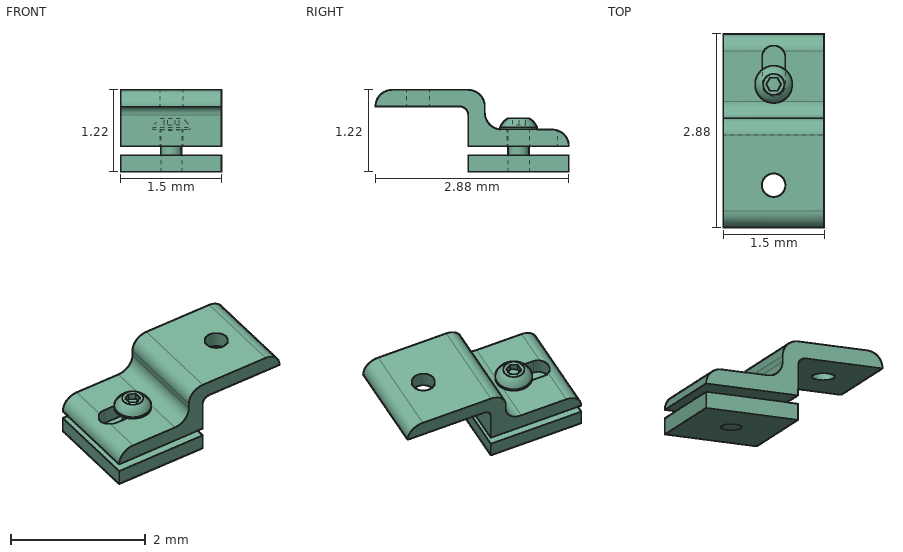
import cadquery as cq
import math

width = 1.5
length = 2.88
foot_length = 1.5
thickness = 0.25
height = 1.22
gap = 0.13
bend_radius = thickness
inner_bend_radius = 0.125

hole_diameter = 0.345
arm_hole_inset = 0.63
slot_end_inset = 0.173

shank_diameter = 0.315
head_diameter = 0.555
head_top_diameter = 0.315
head_height = 0.17
rim_height = 0.032
socket_corners = 0.222
socket_depth = 0.1

foot_bottom = thickness + gap
foot_top = foot_bottom + thickness
arm_bottom = height - thickness
wall_front = length - foot_length
wall_back = wall_front + thickness
screw_y = length - foot_length / 2
slot_end_y = length - slot_end_inset - hole_diameter / 2
diagonal = math.sqrt(0.5)


def quarter_arc(sketch, center, radius, side, end):
    """Add a quarter arc through the 45 degree point on the given side of its center."""
    middle = (center[0] + side[0] * radius * diagonal, center[1] + side[1] * radius * diagonal)
    return sketch.threePointArc(middle, end)


def make_clamp_plate():
    """Flat plate with a hole for the screw shank."""
    plate = cq.Workplane("XY").box(width, foot_length, thickness, centered=(True, False, False))
    hole = cq.Workplane("XY").center(0, foot_length / 2).circle(shank_diameter / 2).extrude(thickness)
    return plate.cut(hole).translate((0, wall_front, 0))


def make_screw():
    """Button head screw with a hexagon socket, ending flush with the plate bottom."""
    shank_radius = shank_diameter / 2
    head_radius = head_diameter / 2
    top_radius = head_top_diameter / 2
    rim_top = foot_top + rim_height
    head_top = foot_top + head_height

    dome_height = head_height - rim_height
    center_rise = (dome_height**2 + top_radius**2 - head_radius**2) / (2 * dome_height)
    dome_radius = math.hypot(head_radius, center_rise)
    middle_radius = (head_radius + top_radius) / 2
    middle_z = rim_top + center_rise + math.sqrt(dome_radius**2 - middle_radius**2)

    body = (
        cq.Workplane("XZ")
        .lineTo(shank_radius, 0)
        .lineTo(shank_radius, foot_top)
        .lineTo(head_radius, foot_top)
        .lineTo(head_radius, rim_top)
        .threePointArc((middle_radius, middle_z), (top_radius, head_top))
        .lineTo(0, head_top)
        .close()
        .revolve(360, (0, 0, 0), (0, 1, 0))
    )
    socket = (
        cq.Workplane("XY")
        .workplane(offset=head_top - socket_depth)
        .polygon(6, socket_corners)
        .extrude(socket_depth)
    )
    return body.cut(socket).translate((0, screw_y, 0))


def make_bracket_blank():
    """Z-shaped profile in the YZ plane, extruded across the width."""
    r = bend_radius
    inner = inner_bend_radius
    profile = cq.Workplane("YZ").moveTo(length, foot_bottom)
    profile = quarter_arc(profile, (length - r, foot_bottom), r, (1, 1), (length - r, foot_top))
    profile = profile.lineTo(wall_back + r, foot_top)
    profile = quarter_arc(profile, (wall_back + r, foot_top + r), r, (-1, -1), (wall_back, foot_top + r))
    profile = profile.lineTo(wall_back, height - r)
    profile = quarter_arc(profile, (wall_back - r, height - r), r, (1, 1), (wall_back - r, height))
    profile = profile.lineTo(r, height)
    profile = quarter_arc(profile, (r, arm_bottom), r, (-1, 1), (0, arm_bottom))
    profile = profile.lineTo(wall_front - inner, arm_bottom)
    inner_center = (wall_front - inner, arm_bottom - inner)
    profile = quarter_arc(profile, inner_center, inner, (1, 1), (wall_front, arm_bottom - inner))
    profile = profile.lineTo(wall_front, foot_bottom).close()
    return profile.extrude(width / 2, both=True)


def make_bracket():
    """Bracket with the arm hole, the adjusting slot and clearance for the screw head."""
    arm_hole = (
        cq.Workplane("XY")
        .workplane(offset=arm_bottom)
        .center(0, arm_hole_inset)
        .circle(hole_diameter / 2)
        .extrude(thickness)
    )
    slot = (
        cq.Workplane("XY")
        .workplane(offset=foot_bottom)
        .center(0, (screw_y + slot_end_y) / 2)
        .slot2D(slot_end_y - screw_y + hole_diameter, hole_diameter, 90)
        .extrude(thickness)
    )
    head_relief = (
        cq.Workplane("XY")
        .workplane(offset=foot_top)
        .center(0, screw_y)
        .circle(head_diameter / 2)
        .extrude(head_height)
    )
    return make_bracket_blank().cut(arm_hole).cut(slot).cut(head_relief)


clamp_plate = make_clamp_plate()
bracket = make_bracket()
screw = make_screw()

result = cq.Compound.makeCompound([clamp_plate.val(), bracket.val(), screw.val()])